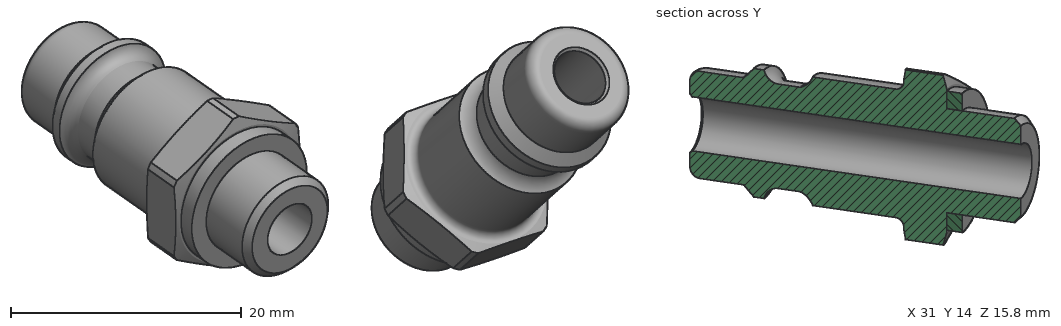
import cadquery as cq
import math

length = 31.0
rib_cone_start = 5.05
rib_start = 6.0
rib_end = 6.98
neck_start = 8.12
neck_end = 10.4
barrel_start = 11.5
hex_start = 20.0
hex_end = 24.05
washer_end = 25.5

tip_diameter = 10.0
barrel_diameter = 12.0
neck_diameter = 9.75
stem_diameter = 9.73
washer_diameter = 13.0
bore_diameter = 5.0

across_flats = 14.0
corner_diameter = 15.8
hex_front_diameter = 13.9
hex_back_diameter = 13.45
hex_front_bevel = 0.2
hex_back_bevel = 0.35

tip_round = 1.0
bore_chamfer = 0.25
stem_chamfer = 0.62
hex_fillet = 0.75
rib_arc_radius = 1.43
barrel_arc_radius = 2.0


def revolve_about_x(profile):
    """Revolve a closed (x, radius) profile drawn in XY about the X axis."""
    return profile.close().revolve(360, (0, 0, 0), (1, 0, 0))


def make_turned_body():
    """Plug tip, locking rib, neck, barrel and stem as one turned shape."""
    tip_radius = tip_diameter / 2
    barrel_radius = barrel_diameter / 2
    neck_radius = neck_diameter / 2
    stem_radius = stem_diameter / 2
    round_offset = tip_round * (1 - math.sqrt(0.5))
    fillet_offset = hex_fillet * (1 - math.sqrt(0.5))
    profile = (
        cq.Workplane("XY")
        .lineTo(0, tip_radius - tip_round)
        .threePointArc((round_offset, tip_radius - round_offset), (tip_round, tip_radius))
        .lineTo(rib_cone_start, tip_radius)
        .lineTo(rib_start, barrel_radius)
        .lineTo(rib_end, barrel_radius)
        .radiusArc((neck_start, neck_radius), -rib_arc_radius)
        .lineTo(neck_end, neck_radius)
        .radiusArc((barrel_start, barrel_radius), -barrel_arc_radius)
        .lineTo(hex_start - hex_fillet, barrel_radius)
        .threePointArc(
            (hex_start - fillet_offset, barrel_radius + fillet_offset),
            (hex_start, barrel_radius + hex_fillet),
        )
        .lineTo(hex_start, stem_radius)
        .lineTo(length - stem_chamfer, stem_radius)
        .lineTo(length, stem_radius - stem_chamfer)
        .lineTo(length, 0)
    )
    return revolve_about_x(profile)


def make_hexagon():
    """Wrench hexagon, corners up and down, trimmed by a bevelled round blank."""
    corner_radius = corner_diameter / 2
    front_radius = hex_front_diameter / 2
    back_radius = hex_back_diameter / 2
    sharp_corner_diameter = across_flats / math.cos(math.pi / 6)
    prism = (
        cq.Workplane("YZ", origin=(hex_start, 0, 0))
        .transformed(rotate=(0, 0, 90))
        .polygon(6, sharp_corner_diameter)
        .extrude(hex_end - hex_start)
    )
    blank = revolve_about_x(
        cq.Workplane("XY")
        .moveTo(hex_start, 0)
        .lineTo(hex_start, front_radius)
        .lineTo(hex_start + hex_front_bevel, corner_radius)
        .lineTo(hex_end - hex_back_bevel, corner_radius)
        .lineTo(hex_end, back_radius)
        .lineTo(hex_end, 0)
    )
    return prism.intersect(blank)


def make_bore():
    """Through bore with a chamfered mouth at the plug tip."""
    bore_radius = bore_diameter / 2
    return revolve_about_x(
        cq.Workplane("XY")
        .lineTo(0, bore_radius + bore_chamfer)
        .lineTo(bore_chamfer, bore_radius)
        .lineTo(length, bore_radius)
        .lineTo(length, 0)
    )


def make_washer():
    """Sealing washer seated on the stem against the hexagon."""
    return (
        cq.Workplane("YZ", origin=(hex_end, 0, 0))
        .circle(washer_diameter / 2)
        .circle(stem_diameter / 2)
        .extrude(washer_end - hex_end)
    )


nipple = make_turned_body().union(make_hexagon()).cut(make_bore())
washer = make_washer()

result = cq.Compound.makeCompound([nipple.val(), washer.val()])